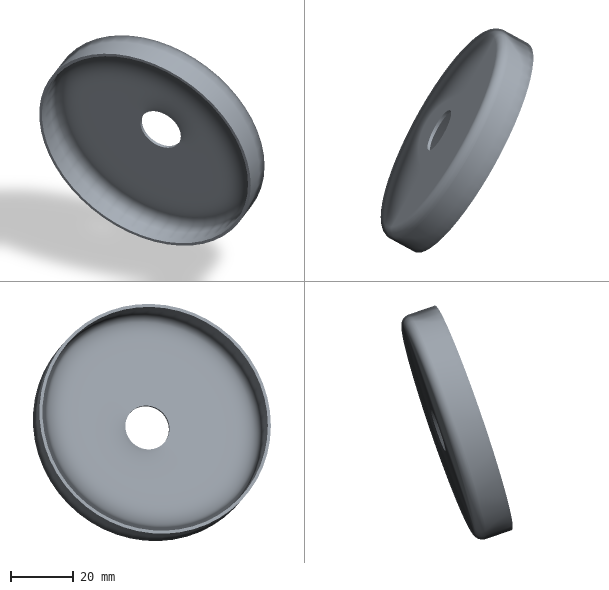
import cadquery as cq

outer_diameter = 76.0
height = 12.0
wall = 1.0
outer_corner_radius = 3.0
hole_diameter = 14.5

outer_radius = outer_diameter / 2
inner_radius = outer_radius - wall
inner_corner_radius = outer_corner_radius - wall


def cylinder_along_y(radius, length):
    """Cylinder from the open rim plane (Y = 0) towards the closed +Y face."""
    return cq.Workplane("XZ").circle(radius).extrude(-length)


def rounded_cup():
    """Thin round cup, open towards -Y, with concentric corner rounds."""
    body = cylinder_along_y(outer_radius, height)
    body = body.faces(">Y").edges().fillet(outer_corner_radius)
    cavity = cylinder_along_y(inner_radius, height - wall)
    cavity = cavity.faces(">Y").edges().fillet(inner_corner_radius)
    return body.cut(cavity)


result = rounded_cup().cut(cylinder_along_y(hole_diameter / 2, height))